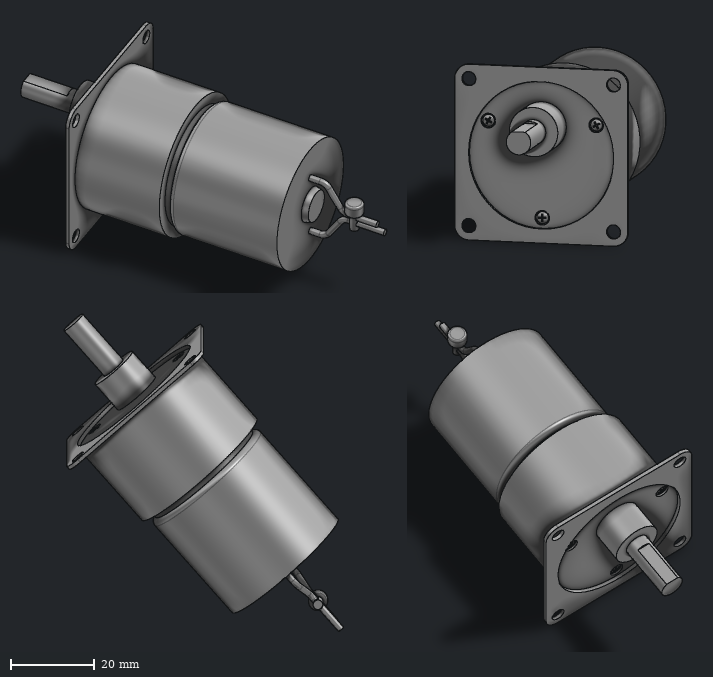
import cadquery as cq
import math


overall_length = 97.9

plate_side = 43.0
plate_thickness = 1.0
plate_corner_radius = 3.5
plate_bore_diameter = 36.0
plate_hole_pitch = plate_side - 2 * plate_corner_radius
plate_hole_diameter = 3.4

gearbox_diameter = 37.0
gearbox_end_x = 24.0
neck_diameter = 31.1
motor_diameter = 34.1
motor_start_x = 25.7
motor_end_x = 55.3
motor_edge_radius = 1.4
rear_bearing_base_radius = 4.6
rear_bearing_middle_radius = 4.4
rear_bearing_end_radius = 4.1
rear_bearing_length = 1.7

shaft_offset_z = 7.0
shaft_diameter = 6.1
shaft_tip_x = -22.1
shaft_flat_length = 11.9
shaft_flat_depth = 0.5
boss_diameter = 12.0
boss_front_x = -7.3

screw_count = 3
screw_circle_radius = 15.5
screw_recess_diameter = 3.5
screw_recess_depth = 0.6
screw_head_diameter = 2.9
screw_slot_width = 0.3
screw_slot_length = 1.8
screw_slot_depth = 0.4

wire_diameter = 1.7
wire_exit_z = 8.2
wire_pair_z = 0.9
wire_lead_length = 2.8
wire_bend_radius = 2.6
wire_bend_angle = math.radians(57)
lower_wire_tip_x = shaft_tip_x + overall_length
upper_wire_tip_x = lower_wire_tip_x - 2.1
tie_x = 67.4
tie_shank_diameter = 2.35
tie_bottom_z = -2.8
tie_cap_diameter = 4.7
tie_cap_bottom_z = 2.1
tie_cap_top_z = 5.3
tie_cap_top_edge_radius = 0.6
tie_cap_bottom_edge_radius = 0.3

embed = 0.5


def x_cylinder(diameter, start_x, end_x, z=0):
    """Round bar along X between two stations."""
    section = cq.Workplane("YZ", origin=(start_x, 0, z)).circle(diameter / 2)
    return section.extrude(end_x - start_x)


def mounting_plate():
    plate = cq.Workplane("YZ").rect(plate_side, plate_side).extrude(plate_thickness)
    plate = plate.edges("|X").fillet(plate_corner_radius)
    bore = x_cylinder(plate_bore_diameter, 0, plate_thickness)
    holes = (
        cq.Workplane("YZ")
        .rect(plate_hole_pitch, plate_hole_pitch, forConstruction=True)
        .vertices()
        .circle(plate_hole_diameter / 2)
        .extrude(plate_thickness)
    )
    return plate.cut(bore).cut(holes)


def gearbox_and_motor():
    gearbox = x_cylinder(gearbox_diameter, plate_thickness, gearbox_end_x)
    neck = x_cylinder(neck_diameter, gearbox_end_x, motor_start_x)
    motor = x_cylinder(motor_diameter, motor_start_x, motor_end_x)
    motor = motor.faces("<X").edges().fillet(motor_edge_radius)
    return gearbox.union(neck).union(motor).union(rear_bearing())


def rear_bearing():
    """Bearing cover on the motor's rear face, with a bulged side."""
    cover_end_x = motor_end_x + rear_bearing_length
    cover_middle_x = motor_end_x + rear_bearing_length / 2
    profile = (
        cq.Workplane("XY")
        .moveTo(motor_end_x, 0)
        .lineTo(motor_end_x, rear_bearing_base_radius)
        .threePointArc(
            (cover_middle_x, rear_bearing_middle_radius),
            (cover_end_x, rear_bearing_end_radius),
        )
        .lineTo(cover_end_x, 0)
        .close()
    )
    return profile.revolve(360, (0, 0, 0), (1, 0, 0))


def output_shaft():
    boss = x_cylinder(boss_diameter, boss_front_x, plate_thickness, shaft_offset_z)
    shaft = x_cylinder(shaft_diameter, shaft_tip_x, boss_front_x, shaft_offset_z)
    flat_z = shaft_offset_z + shaft_diameter / 2 - shaft_flat_depth
    flat_cutter = cq.Workplane("XY", origin=(shaft_tip_x, 0, flat_z)).box(
        shaft_flat_length, shaft_diameter, shaft_diameter, centered=(False, True, False)
    )
    return boss.union(shaft.cut(flat_cutter))


def screw_recess():
    """Round pocket in the gearbox face, lowest on the screw circle."""
    return x_cylinder(
        screw_recess_diameter,
        plate_thickness,
        plate_thickness + screw_recess_depth,
        -screw_circle_radius,
    )


def screw_head():
    """Domed, cross-slotted head that fills its recess up to the gearbox face."""
    head_radius = screw_head_diameter / 2
    sphere_radius = (head_radius**2 + screw_recess_depth**2) / (2 * screw_recess_depth)
    crown_x = plate_thickness
    blank = x_cylinder(screw_head_diameter, crown_x, crown_x + screw_recess_depth + embed)
    ball = cq.Workplane("XY").sphere(sphere_radius).translate((crown_x + sphere_radius, 0, 0))
    head = blank.intersect(ball)
    for length_y, length_z in (
        (screw_slot_length, screw_slot_width),
        (screw_slot_width, screw_slot_length),
    ):
        slot = cq.Workplane("YZ", origin=(crown_x, 0, 0)).rect(length_y, length_z)
        head = head.cut(slot.extrude(screw_slot_depth))
    return head.translate((0, 0, -screw_circle_radius))


def wire(side, tip_x):
    """S-bent wire from the motor to the tie; side is 1 above the axis, -1 below."""
    bend_length = wire_bend_radius * math.sin(wire_bend_angle)
    bend_drop = wire_bend_radius * (1 - math.cos(wire_bend_angle))
    slope_drop = wire_exit_z - wire_pair_z - 2 * bend_drop
    slope_length = slope_drop / math.tan(wire_bend_angle)

    first_bend_x = motor_end_x + wire_lead_length
    slope_start = (first_bend_x + bend_length, side * (wire_exit_z - bend_drop))
    slope_end = (slope_start[0] + slope_length, side * (wire_pair_z + bend_drop))
    path = (
        cq.Workplane("XZ")
        .moveTo(motor_end_x - embed, side * wire_exit_z)
        .lineTo(first_bend_x, side * wire_exit_z)
        .tangentArcPoint(slope_start, relative=False)
        .lineTo(*slope_end)
        .tangentArcPoint((slope_end[0] + bend_length, side * wire_pair_z), relative=False)
        .lineTo(tip_x, side * wire_pair_z)
    )
    section = cq.Workplane("YZ", origin=(motor_end_x - embed, 0, side * wire_exit_z))
    return section.circle(wire_diameter / 2).sweep(path)


def wire_tie():
    shank = (
        cq.Workplane("XY", origin=(tie_x, 0, tie_bottom_z))
        .circle(tie_shank_diameter / 2)
        .extrude(tie_cap_bottom_z - tie_bottom_z)
    )
    cap = (
        cq.Workplane("XY", origin=(tie_x, 0, tie_cap_bottom_z))
        .circle(tie_cap_diameter / 2)
        .extrude(tie_cap_top_z - tie_cap_bottom_z)
        .faces(">Z")
        .edges()
        .fillet(tie_cap_top_edge_radius)
        .faces("<Z")
        .edges()
        .fillet(tie_cap_bottom_edge_radius)
    )
    return shank.union(cap)


result = gearbox_and_motor().union(mounting_plate()).union(output_shaft())
for index in range(screw_count):
    angle = index * 360 / screw_count
    result = result.cut(screw_recess().rotate((0, 0, 0), (1, 0, 0), angle))
    result = result.union(screw_head().rotate((0, 0, 0), (1, 0, 0), angle))
result = result.union(wire_tie())
result = result.union(wire(1, upper_wire_tip_x))
result = result.union(wire(-1, lower_wire_tip_x))